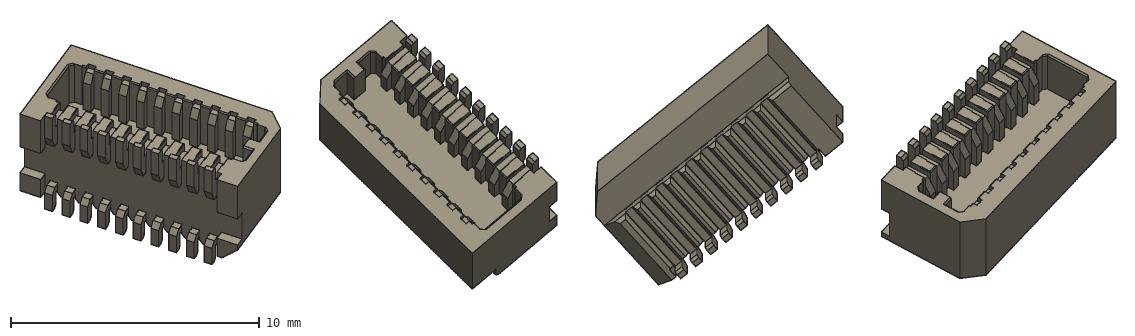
import cadquery as cq


length = 9.8
depth = 4.65
height = 4.165
plan_chamfer = 0.75
step_height = 0.71
step_depth = 1.29
step_edge_chamfer = 0.16
lower_corner_chamfer_run = 0.71

pad_width = 0.93
recess_depth = 0.4
lower_pad_top = 0.98
upper_pad_bottom = 2.39

floor_z = 2.08
cavity_half_length = 4.44
cavity_front = 1.41
cavity_back = 3.68
cavity_corner = 0.16
flare = 0.07
row_half_length = 3.94
row_relief = 0.03
row_flare = 0.05

key_tip_x = 4.04
key_front = 2.23
key_back = 2.86

contacts_per_row = 10
row_span = 7.18
pitch = row_span / (contacts_per_row - 1)
contact_width = 0.35
contact_reach = 0.25
stand_off = 0.06
foot_back = 0.28
foot_tip_chamfer = 0.12
top_foot_rise = 0.4
bottom_foot_drop = 0.49

arm_top = 3.85
arm_bottom = 2.87
upper_foot_bottom = 3.37
upper_slope_run = 0.21
front_nose_start = 1.25
front_nose_drop = 0.67
lead_in_width = 0.03
lead_in_drop = 0.05
bar_front = 0.87

lead_top = 0.64
lead_bottom = 0.28
lower_slope_bottom = 0.39
lower_slope_run = 0.22
lead_slot_top = 0.7
lead_slot_flare = 0.15
lead_slot_flare_height = 0.19
back_pin_top = 3.95
back_nose_run = 0.22
back_nose_drop = 0.42
back_slot_y = 3.93

contact_centres = [-row_span / 2 + i * pitch for i in range(contacts_per_row)]
front_contact_y = cavity_front - row_relief + contact_reach
back_contact_y = cavity_back + row_relief - contact_reach
lower_back_y = depth - step_depth


def box(x_range, y_range, z_range):
    """Box between the given pairs of coordinates."""
    lows, highs = zip(x_range, y_range, z_range)
    sizes = [high - low for low, high in zip(lows, highs)]
    return cq.Workplane("XY").box(*sizes, centered=False).translate(lows)


def prism_along_x(points, x_start, x_end):
    """Closed Y-Z outline swept between two X positions."""
    return cq.Workplane("YZ").polyline(points).close().extrude(x_end - x_start).translate((x_start, 0, 0))


def at_each_contact(shape):
    """Copies of a shape modelled at X = 0, one for each contact in a row."""
    copies = [shape.translate((x, 0, 0)).val() for x in contact_centres]
    return cq.Workplane("XY").newObject([cq.Compound.makeCompound(copies)])


def housing_block():
    half = length / 2
    upper = (
        box((-half, half), (0, depth), (step_height, height))
        .edges("|Z and >X and >Y")
        .chamfer(plan_chamfer)
    )
    lower = (
        cq.Workplane("XZ")
        .polyline([
            (-half, 0),
            (half - lower_corner_chamfer_run, 0),
            (half, step_height),
            (-half, step_height),
        ])
        .close()
        .extrude(-lower_back_y)
        .faces(">Y")
        .edges("<Z")
        .chamfer(step_edge_chamfer)
    )
    recess_half = half - pad_width
    recess = box((-recess_half, recess_half), (0, recess_depth), (0, height))
    pad_gap = box((-half, half), (0, recess_depth), (lower_pad_top, upper_pad_bottom))
    return upper.union(lower).cut(recess).cut(pad_gap)


def cavity_outline(half_length, corner):
    """Cavity plan: a rectangle with chamfered corners, starting at its front left."""
    return [
        (-half_length, cavity_front + corner),
        (-half_length + corner, cavity_front),
        (half_length - corner, cavity_front),
        (half_length, cavity_front + corner),
        (half_length, cavity_back - corner),
        (half_length - corner, cavity_back),
        (-half_length + corner, cavity_back),
        (-half_length, cavity_back - corner),
    ]


def cavity():
    well = (
        cq.Workplane("XY", origin=(0, 0, floor_z))
        .polyline(cavity_outline(cavity_half_length, cavity_corner))
        .close()
        .extrude(height - floor_z)
    )
    mouth = (
        cq.Workplane("XY", origin=(0, 0, height - flare))
        .polyline(cavity_outline(cavity_half_length, cavity_corner))
        .close()
        .workplane(offset=flare)
        .polyline(cavity_outline(cavity_half_length + flare, cavity_corner))
        .close()
        .loft(ruled=True)
    )
    relief_front = cavity_front - row_relief
    relief_back = cavity_back + row_relief
    row_relief_cut = prism_along_x(
        [
            (relief_front, floor_z),
            (relief_back, floor_z),
            (relief_back, height - row_flare),
            (relief_back + row_flare, height),
            (relief_front - row_flare, height),
            (relief_front, height - row_flare),
        ],
        -row_half_length,
        row_half_length,
    )
    return well.union(mouth).union(row_relief_cut)


def polarising_key():
    return prism_along_x(
        [
            (key_front, floor_z),
            (key_back, floor_z),
            (key_back, height - flare),
            (key_back - flare, height),
            (key_front + flare, height),
            (key_front, height - flare),
        ],
        key_tip_x,
        cavity_half_length + flare,
    )


def contact_slots():
    half = contact_width / 2
    arm_slot = box((-half, half), (0, cavity_front), (arm_bottom, height))
    lead_in = (
        cq.Workplane("XZ", origin=(0, bar_front, 0))
        .polyline([
            (-half, height - lead_in_drop),
            (half, height - lead_in_drop),
            (half + lead_in_width, height),
            (-half - lead_in_width, height),
        ])
        .close()
        .extrude(bar_front - cavity_front)
    )
    back_slot = box((-half, half), (cavity_back, back_slot_y), (floor_z, height))
    flared = half + lead_slot_flare
    lead_slot = (
        cq.Workplane("XZ")
        .polyline([
            (-flared, 0),
            (flared, 0),
            (half, lead_slot_flare_height),
            (half, lead_slot_top),
            (-half, lead_slot_top),
            (-half, lead_slot_flare_height),
        ])
        .close()
        .extrude(-lower_back_y)
    )
    return [at_each_contact(slot) for slot in (arm_slot, lead_in, back_slot, lead_slot)]


def front_contact():
    """Foot rising above the housing, arm through the wall, bar down to the cavity floor."""
    foot_top = height + top_foot_rise
    return prism_along_x(
        [
            (-stand_off, upper_foot_bottom),
            (-stand_off, foot_top),
            (foot_back - foot_tip_chamfer, foot_top),
            (foot_back, foot_top - foot_tip_chamfer),
            (foot_back, arm_top),
            (front_nose_start, arm_top),
            (front_contact_y, arm_top - front_nose_drop),
            (front_contact_y, floor_z),
            (bar_front, floor_z),
            (bar_front, arm_bottom),
            (-stand_off + upper_slope_run, arm_bottom),
        ],
        -contact_width / 2,
        contact_width / 2,
    )


def back_contact_bar():
    return prism_along_x(
        [
            (back_slot_y, floor_z),
            (back_slot_y, back_pin_top),
            (back_contact_y + back_nose_run, back_pin_top),
            (back_contact_y, back_pin_top - back_nose_drop),
            (back_contact_y, floor_z),
        ],
        -contact_width / 2,
        contact_width / 2,
    )


def back_contact_lead():
    """Foot below the housing and the lead running back under the cavity."""
    return prism_along_x(
        [
            (-stand_off, -bottom_foot_drop),
            (-stand_off, lower_slope_bottom),
            (-stand_off + lower_slope_run, lead_top),
            (lower_back_y, lead_top),
            (lower_back_y, lead_bottom),
            (foot_back, lead_bottom),
            (foot_back, -bottom_foot_drop + foot_tip_chamfer),
            (foot_back - foot_tip_chamfer, -bottom_foot_drop),
        ],
        -contact_width / 2,
        contact_width / 2,
    )


result = housing_block().cut(cavity()).union(polarising_key())
for slots in contact_slots():
    result = result.cut(slots)
for contact in (front_contact(), back_contact_bar(), back_contact_lead()):
    result = result.union(at_each_contact(contact))